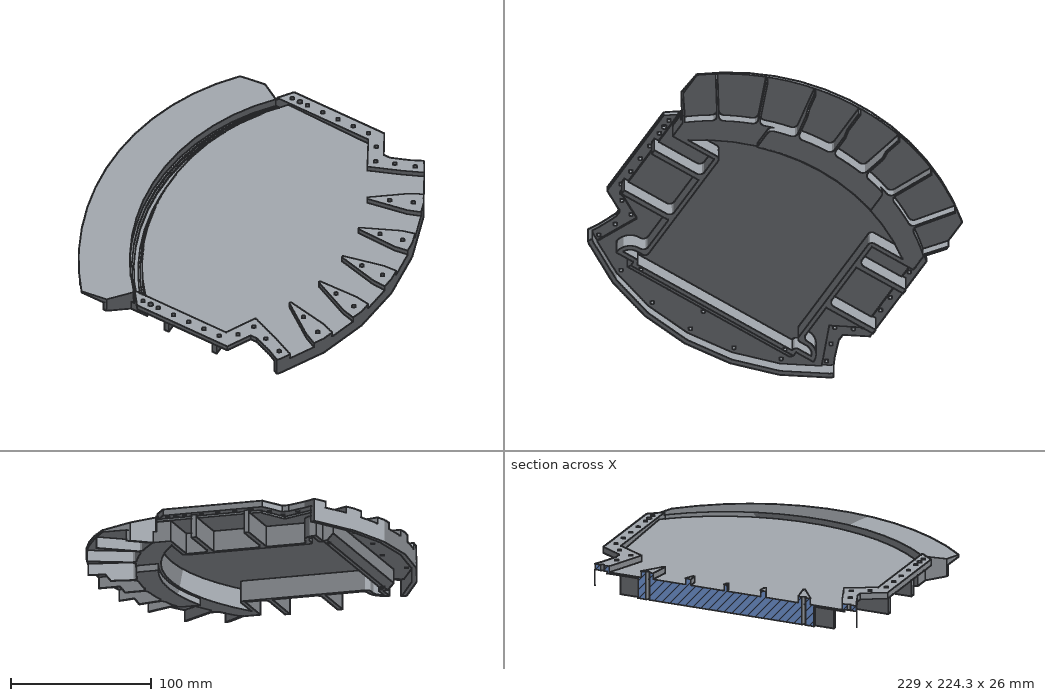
import cadquery as cq
import math

TOP = 26.0
PLATE_HIGH = 23.5
PLATE_LOW = 21.3
PLATE_UNDERSIDE = 19.7
RAMP_BOTTOM = 12.8
SKIRT_BOTTOM = 9.6
WALL_BOTTOM = 4.8
GROOVE_WIDTH = 10.0
GROOVE_STEPS = ((10.0, 16.0), (6.6, 14.7), (3.5, 13.3))

HALF_LENGTH = 114.5
HALF_WIDTH = 112.17
RAMP_RADIUS = 178.0
RAMP_CENTRE_X = RAMP_RADIUS - HALF_LENGTH
RIM_RADIUS = 177.5
RIM_CENTRE_X = HALF_LENGTH - RIM_RADIUS
CREST_RADIUS = 152.6
CREST_CENTRE_X = 76.0
FLANGE_INNER_Y = 100.5

RAIL_MIDDLE_Z = 17.0
RAIL_END_Y = 121.5
RAIL_END_Z = 13.7
SIDE_WALL = 1.5

RING_RADIUS = 154.7
RING_WIDTH = 16.5
RING_HALF_WIDTH = 101.7
RIB_PITCH = 11.5
RIB_COUNT = 7
RIB_THICKNESS = 1.4
RIB_INSET = 0.2
RIB_START_RADIUS = 133.0
RIB_FILLET = 4.0
KEEL_HALF_WIDTH = 48.1
KEEL_RIB_END = 162.2
KEEL_BACK_X = -53.9
KEEL_BEVEL = 4.0

PLATE_HALF_WIDTH = 103.0
PLATE_SLOPE_START_X = -25.2
PLATE_SLOPE_END_X = 29.0
SKIRT_THICKNESS = 3.5

WEDGE_PITCH = 11.7
WEDGE_COUNT = 5
RIM_CORNERS = 4
WEDGE_TIP_RADIUS = 137.3
WEDGE_TIP_HALF_WIDTH = 0.7
WEDGE_KINK_RADIUS = 166.8
WEDGE_KINK_HALF_WIDTH = 7.5
WEDGE_END_HALF_WIDTH = 8.2
WEDGE_HOLE_RADII = (153.3, 170.3)
HOLE_DIAMETER = 2.7
WIDE_HOLE_DIAMETER = 3.5
HOLE_ROW_Y = 105.6
HOLE_ROW_START_X = -28.2
HOLE_PITCH = 12.51
ARM_KINK = (72.2, 99.5)
ARM_END = (84.3, 105.6)
ARM_HOLES = ((45.4, 97.9), (51.5, 86.2), (64.5, 91.2), (78.1, 96.2))

FRAME_WALL = 3.2
FRAME_OVERLAP = 1.5
FRAME_FRONT_X = -37.5
FRAME_STEP_X = -27.0
FRAME_SIDE_Y = 66.7
FRAME_LUG_X = 63.5
FRAME_LUG_Y = 71.5
FRAME_LUG_RADIUS = 12.0
FRAME_BACK_X = 78.8
FRAME_BACK_Y = 68.7
FRAME_BACK_BEVEL = 4.5
SIDE_RIB_ENDS_X = (-6.6, 32.8)
SIDE_RIB_THICKNESS = 3.7
SIDE_RIB_OUTER_Y = 106.3
FRAME_FILLET = 4.1

MIRROR = (1, -1)


def disc(centre_x, radius, bottom, top):
    """Upright cylinder centred on the symmetry plane."""
    return cq.Workplane("XY", origin=(centre_x, 0, bottom)).circle(radius).extrude(top - bottom)


def crescent(centre_x, radius, width, bottom, top):
    """Band between an arc and the same arc moved back along X by the width."""
    return disc(centre_x, radius, bottom, top).cut(disc(centre_x + width, radius, bottom, top))


def block(x0, x1, half_width, bottom, top):
    """Box symmetric about y = 0."""
    return (
        cq.Workplane("XY", origin=((x0 + x1) / 2, 0, bottom))
        .rect(x1 - x0, 2 * half_width)
        .extrude(top - bottom)
    )


def prism(points, bottom, top):
    return cq.Workplane("XY", origin=(0, 0, bottom)).polyline(points).close().extrude(top - bottom)


def arc_x(centre_x, radius, y):
    """X of the front (-X) half of a circle at the given y."""
    return centre_x - math.sqrt(radius**2 - y**2)


def fillet_uprights(body, is_chosen, radius):
    """Round the vertical edges whose plan position is chosen."""
    edges = [edge for edge in body.edges("|Z").vals() if is_chosen(edge.Center().x, edge.Center().y)]
    return body.newObject(edges).fillet(radius)


CREST_END_X = arc_x(CREST_CENTRE_X, CREST_RADIUS, FLANGE_INNER_Y)
RAIL_END_X = arc_x(RAMP_CENTRE_X, RAMP_RADIUS, RAIL_END_Y)


def rim_prism(bottom, top, inset=0.0):
    """Many-sided prism whose flat sides form the rear rim, one corner per wedge."""
    radius = RIM_RADIUS - inset
    angles = [math.radians(step * WEDGE_PITCH) for step in range(-RIM_CORNERS, RIM_CORNERS + 1)]
    points = [(RIM_CENTRE_X + radius * math.cos(a), radius * math.sin(a)) for a in angles]
    return prism([(-HALF_LENGTH, points[0][1])] + points + [(-HALF_LENGTH, points[-1][1])], bottom, top)


def ramp_plan_edge(y):
    """X on the slanted back edge of the ramp at the given |y|."""
    share = (y - FLANGE_INNER_Y) / (RAIL_END_Y - FLANGE_INNER_Y)
    return CREST_END_X + share * (RAIL_END_X - CREST_END_X)


def arc_edge(end_x, end_y, end_z, middle_x, middle_z):
    """Arc symmetric about y = 0 through its two ends and its middle."""
    return cq.Edge.makeThreePointArc(
        cq.Vector(end_x, -end_y, end_z),
        cq.Vector(middle_x, 0, middle_z),
        cq.Vector(end_x, end_y, end_z),
    )


def make_ramp():
    """Ruled ramp between the front rail and the crest, flat below and trimmed at the sides."""
    rail = arc_edge(RAIL_END_X, RAIL_END_Y, RAIL_END_Z, -HALF_LENGTH, RAIL_MIDDLE_Z)
    crest_x = CREST_CENTRE_X - CREST_RADIUS
    crest = arc_edge(CREST_END_X, FLANGE_INNER_Y, PLATE_HIGH, crest_x, PLATE_HIGH)
    surface = cq.Face.makeRuledSurface(rail, crest)
    ramp = cq.Workplane(cq.Solid.extrudeLinear(surface, cq.Vector(0, 0, -PLATE_HIGH)))
    return ramp.intersect(block(-HALF_LENGTH, 0, HALF_WIDTH, RAMP_BOTTOM, PLATE_HIGH))


def make_ramp_side_walls():
    """Thin slanted walls below the back ends of the ramp."""
    back_x = ramp_plan_edge(HALF_WIDTH)
    run = CREST_END_X - back_x
    rise = HALF_WIDTH - FLANGE_INNER_Y
    shift = SIDE_WALL * math.hypot(run, rise) / rise
    walls = cq.Workplane("XY")
    for side in MIRROR:
        points = [
            (back_x, side * HALF_WIDTH),
            (CREST_END_X, side * FLANGE_INNER_Y),
            (CREST_END_X - shift, side * FLANGE_INNER_Y),
            (back_x - shift, side * HALF_WIDTH),
        ]
        walls = walls.add(prism(points, WALL_BOTTOM, RAMP_BOTTOM))
    return walls.combine()


def make_ring_and_ribs():
    """Grooved ring below the crest with radial ribs reaching the ramp rim."""
    wall = crescent(CREST_CENTRE_X, RING_RADIUS, RING_WIDTH, 0, RAMP_BOTTOM)
    keep = block(-HALF_LENGTH, FRAME_STEP_X, RING_HALF_WIDTH, WALL_BOTTOM, RAMP_BOTTOM)
    keep = keep.union(block(-HALF_LENGTH, KEEL_BACK_X, KEEL_HALF_WIDTH, 0, WALL_BOTTOM))
    wall = wall.intersect(keep)
    rim = disc(RAMP_CENTRE_X, RAMP_RADIUS - RIB_INSET, 0, RAMP_BOTTOM)
    bore = disc(CREST_CENTRE_X + RING_WIDTH, RING_RADIUS, 0, RAMP_BOTTOM)
    for index in range(RIB_COUNT):
        step = index - RIB_COUNT // 2
        outline = [(-RIB_START_RADIUS, WALL_BOTTOM)]
        if abs(step) <= 1:
            keel_end = KEEL_RIB_END / math.cos(math.radians(step * RIB_PITCH))
            outline = [
                (-RIB_START_RADIUS, 0),
                (-keel_end + KEEL_BEVEL, 0),
                (-keel_end, WALL_BOTTOM),
            ]
        outline += [
            (-RAMP_RADIUS - 2.3, WALL_BOTTOM),
            (-RAMP_RADIUS - 2.3, RAMP_BOTTOM),
            (-RIB_START_RADIUS, RAMP_BOTTOM),
        ]
        rib = cq.Workplane("XZ").polyline(outline).close().extrude(RIB_THICKNESS / 2, both=True)
        rib = rib.rotate((0, 0, 0), (0, 0, 1), step * RIB_PITCH).translate((RAMP_CENTRE_X, 0, 0))
        wall = wall.union(rib.intersect(rim).cut(bore))
    return fillet_uprights(
        wall,
        lambda x, y: abs(y) < FLANGE_INNER_Y - RIB_FILLET
        and math.isclose(math.hypot(x - CREST_CENTRE_X, y), RING_RADIUS),
        RIB_FILLET,
    )


def make_plate():
    """Plate stepping down across a shallow slope, with a rounded front and rear."""
    profile = [
        (-HALF_LENGTH, PLATE_UNDERSIDE),
        (-HALF_LENGTH, PLATE_HIGH),
        (PLATE_SLOPE_START_X, PLATE_HIGH),
        (PLATE_SLOPE_END_X, PLATE_LOW),
        (HALF_LENGTH, PLATE_LOW),
        (HALF_LENGTH, PLATE_UNDERSIDE),
    ]
    slab = cq.Workplane("XZ").polyline(profile).close().extrude(PLATE_HALF_WIDTH, both=True)
    slab = slab.intersect(rim_prism(0, TOP))
    front = disc(CREST_CENTRE_X, CREST_RADIUS, 0, TOP)
    front = front.intersect(block(-HALF_LENGTH, HALF_LENGTH, FLANGE_INNER_Y, 0, TOP))
    sides = block(FRAME_FRONT_X, HALF_LENGTH, PLATE_HALF_WIDTH, 0, TOP)
    slab = slab.intersect(front.union(sides))
    for side in MIRROR:
        notch = [
            (40.8, side * HALF_LENGTH),
            (40.8, side * FLANGE_INNER_Y),
            (51.3, side * 81.4),
            (85.2, side * 96.2),
            (85.2, side * HALF_LENGTH),
        ]
        slab = slab.cut(prism(notch, 0, TOP))
    return slab


def make_flange():
    """Bolting strip along each side ending in a bent arm."""
    flange = cq.Workplane("XY")
    for side in MIRROR:
        outline = [
            (-37.8, FLANGE_INNER_Y),
            (-29.8, 111.1),
            (44.2, 111.1),
            (53.6, 94.2),
            (58.7, 94.2),
            ARM_KINK,
            ARM_END,
            (89.4, 96.0),
            (70.8, 87.8),
            (48.8, 79.0),
            (37.1, FLANGE_INNER_Y),
        ]
        points = [(x, side * y) for x, y in outline]
        flange = flange.add(prism(points, PLATE_LOW, TOP))
    return flange.combine().intersect(rim_prism(0, TOP))


def make_skirt():
    """Rim wall hanging from the rear edge of the plate."""
    keep = [ARM_KINK, ARM_END, (HALF_LENGTH, HALF_WIDTH)]
    skirt = rim_prism(SKIRT_BOTTOM, PLATE_LOW)
    skirt = skirt.cut(rim_prism(SKIRT_BOTTOM, PLATE_LOW, SKIRT_THICKNESS))
    return skirt.intersect(prism(keep + [(x, -y) for x, y in reversed(keep)], 0, TOP))


def make_wedges():
    wedges = cq.Workplane("XY")
    outline = [
        (WEDGE_TIP_RADIUS, WEDGE_TIP_HALF_WIDTH),
        (WEDGE_KINK_RADIUS, WEDGE_KINK_HALF_WIDTH),
        (RIM_RADIUS + 2.3, WEDGE_END_HALF_WIDTH),
    ]
    outline += [(x, -y) for x, y in reversed(outline)]
    wedge = prism(outline, PLATE_LOW, TOP)
    for index in range(WEDGE_COUNT):
        angle = (index - WEDGE_COUNT // 2) * WEDGE_PITCH
        wedges = wedges.add(wedge.rotate((0, 0, 0), (0, 0, 1), angle).translate((RIM_CENTRE_X, 0, 0)))
    return wedges.combine().intersect(rim_prism(0, TOP))


def make_frame():
    """Closed wall below the plate, with outward ribs below the flange."""
    diagonal = FRAME_LUG_RADIUS * math.sqrt(0.5)
    lug_end_x = FRAME_LUG_X + FRAME_LUG_RADIUS
    lug_side_y = FRAME_LUG_Y + FRAME_LUG_RADIUS
    outline = (
        cq.Workplane("XY", origin=(0, 0, WALL_BOTTOM))
        .moveTo(FRAME_FRONT_X, RING_HALF_WIDTH)
        .lineTo(FRAME_STEP_X, RING_HALF_WIDTH)
        .lineTo(FRAME_STEP_X, FRAME_SIDE_Y)
        .lineTo(FRAME_LUG_X, FRAME_SIDE_Y)
        .lineTo(FRAME_LUG_X, FRAME_LUG_Y)
        .threePointArc((lug_end_x - diagonal, FRAME_LUG_Y + diagonal), (lug_end_x, lug_side_y))
        .lineTo(lug_end_x, FRAME_BACK_Y)
        .lineTo(FRAME_BACK_X, FRAME_BACK_Y)
        .lineTo(FRAME_BACK_X, -FRAME_BACK_Y)
        .lineTo(lug_end_x, -FRAME_BACK_Y)
        .lineTo(lug_end_x, -lug_side_y)
        .threePointArc((lug_end_x - diagonal, -FRAME_LUG_Y - diagonal), (FRAME_LUG_X, -FRAME_LUG_Y))
        .lineTo(FRAME_LUG_X, -FRAME_SIDE_Y)
        .lineTo(FRAME_STEP_X, -FRAME_SIDE_Y)
        .lineTo(FRAME_STEP_X, -RING_HALF_WIDTH)
        .lineTo(FRAME_FRONT_X, -RING_HALF_WIDTH)
        .threePointArc(
            (CREST_CENTRE_X + RING_WIDTH - RING_RADIUS - FRAME_OVERLAP, 0), (FRAME_FRONT_X, RING_HALF_WIDTH)
        )
        .close()
    )
    wire = outline.val()
    height = cq.Vector(0, 0, PLATE_LOW - WALL_BOTTOM)
    frame = cq.Workplane(cq.Solid.extrudeLinear(wire, wire.offset2D(-FRAME_WALL), height))
    for end_x in SIDE_RIB_ENDS_X:
        start_x = end_x - SIDE_RIB_THICKNESS
        rib = block(start_x, end_x, SIDE_RIB_OUTER_Y, WALL_BOTTOM, PLATE_LOW)
        frame = frame.union(rib.cut(block(start_x, end_x, FRAME_SIDE_Y - FRAME_WALL, 0, TOP)))
    bevel = (
        cq.Workplane("XZ")
        .moveTo(FRAME_BACK_X - FRAME_WALL, WALL_BOTTOM)
        .lineTo(FRAME_BACK_X, WALL_BOTTOM)
        .lineTo(FRAME_BACK_X + FRAME_BACK_BEVEL, SKIRT_BOTTOM)
        .lineTo(FRAME_BACK_X + FRAME_BACK_BEVEL, PLATE_LOW)
        .lineTo(FRAME_BACK_X - FRAME_WALL, PLATE_LOW)
        .close()
        .extrude(FRAME_BACK_Y, both=True)
    )
    frame = frame.union(bevel)
    corners_x = [end_x - SIDE_RIB_THICKNESS for end_x in SIDE_RIB_ENDS_X] + [FRAME_LUG_X]
    return fillet_uprights(
        frame,
        lambda x, y: math.isclose(abs(y), FRAME_SIDE_Y) and any(math.isclose(x, at) for at in corners_x),
        FRAME_FILLET,
    )


def cut_groove(body):
    """Stepped groove between the ramp crest and the plate."""
    clip = block(-HALF_LENGTH, 0, FLANGE_INNER_Y, 0, TOP)
    for width, floor in GROOVE_STEPS:
        start_x = CREST_CENTRE_X + (GROOVE_WIDTH - width) / 2
        groove = crescent(start_x, CREST_RADIUS, width, floor, TOP)
        body = body.cut(groove.intersect(clip))
    return body


def hole_tools():
    wedge_points = []
    for index in range(WEDGE_COUNT):
        angle = math.radians((index - WEDGE_COUNT // 2) * WEDGE_PITCH)
        for radius in WEDGE_HOLE_RADII:
            wedge_points.append((RIM_CENTRE_X + radius * math.cos(angle), radius * math.sin(angle)))
    row = [HOLE_ROW_START_X + step * HOLE_PITCH for step in (0, 1, 2, 3, 4, 5)]
    side_points = [(x, HOLE_ROW_Y) for x in row] + list(ARM_HOLES)
    wide_x = HOLE_ROW_START_X + HOLE_PITCH / 2
    points = wedge_points + [(x, side * y) for side in MIRROR for x, y in side_points]
    tools = cq.Workplane("XY").pushPoints(points).circle(HOLE_DIAMETER / 2).extrude(TOP)
    wide = [(wide_x, side * HOLE_ROW_Y) for side in MIRROR]
    return tools.add(cq.Workplane("XY").pushPoints(wide).circle(WIDE_HOLE_DIAMETER / 2).extrude(TOP))


def make_groove_bed():
    """Band behind the crest, from which the groove is cut."""
    bed = crescent(CREST_CENTRE_X, CREST_RADIUS, RING_WIDTH, WALL_BOTTOM, PLATE_HIGH)
    return bed.intersect(block(-HALF_LENGTH, FRAME_STEP_X, RING_HALF_WIDTH, 0, TOP))


body = make_ramp()
for piece in (make_ramp_side_walls(), make_ring_and_ribs(), make_groove_bed(), make_plate(), make_frame()):
    body = body.union(piece)
body = cut_groove(body)
for piece in (make_flange(), make_skirt(), make_wedges()):
    body = body.union(piece)
for hole in hole_tools().vals():
    body = body.cut(cq.Workplane(hole))
result = body